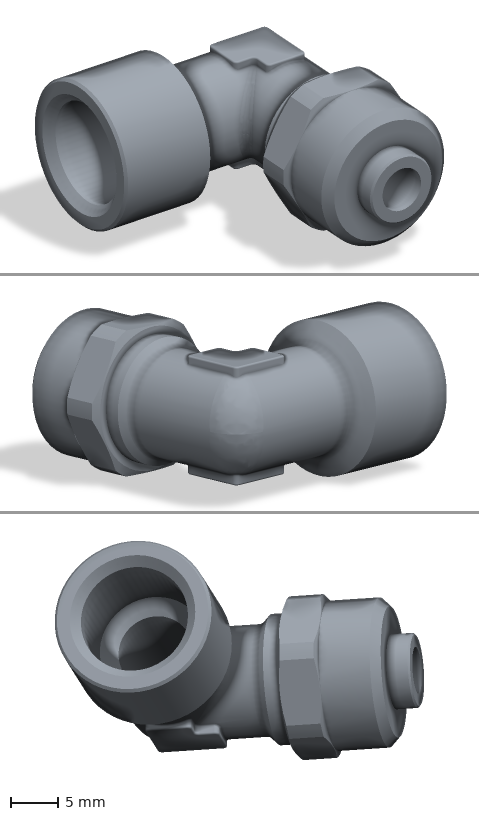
import cadquery as cq
import math


body_radius = 6.0
outer_corner_fillet = 4.0
inner_corner_fillet = 1.0
shoulder_fillet = 1.0

socket_radius = 8.5
socket_end_y = -23.5
socket_back_y = -12.5
socket_taper_angle = 60.0
socket_edge_chamfer = 0.3

collar_radius = 7.0
collar_start_x = 10.75
collar_taper_angle = 45.0
hex_start_x = 12.5
hex_end_x = 17.0
hex_across_flats = 16.0
hex_sides = 6
hex_corner_radius = 8.75
hex_end_radius = 7.85
hex_chamfer_length = 0.4
sleeve_radius = hex_across_flats / 2
sleeve_end_x = 23.5
sleeve_chamfer = 1.0
tube_radius = 4.0
tube_end_x = 26.0
tube_chamfer = 0.2

socket_bore_radius = 5.8
socket_bore_end_y = socket_back_y
socket_mouth_radius = 6.8
socket_mouth_depth = 1.0
drill_radius = 4.0
drill_end_y = 1.5
drill_tip_half_angle = 59.0
cross_bore_radius = 2.5

pad_height = 6.5
pad_inset = 2.5
pad_reach = 5.0
pad_corner_radius = 0.5
pad_edge_fillet = 0.2


def shoulder_length(end_radius, taper_angle):
    """Axial length from the plain body to the wide end of a filleted taper."""
    taper = (end_radius - body_radius) / math.tan(math.radians(taper_angle))
    fillet_tangent = shoulder_fillet * math.tan(math.radians(taper_angle / 2))
    return taper + fillet_tangent


socket_shoulder_y = socket_back_y + shoulder_length(socket_radius, socket_taper_angle)
collar_shoulder_x = collar_start_x - shoulder_length(collar_radius, collar_taper_angle)


def shoulder_arc_point(turn_angle):
    """(axial distance, radius) on the shoulder fillet once its slope has turned by turn_angle."""
    turn = math.radians(turn_angle)
    return shoulder_fillet * math.sin(turn), body_radius + shoulder_fillet * (1 - math.cos(turn))


def revolve_about_x(outline):
    """Turn a closed outline of (x, radius) points about the X axis."""
    return cq.Workplane("XY").polyline(outline).close().revolve(360, (0, 0, 0), (1, 0, 0))


def revolve_about_y(outline):
    """Turn a closed outline of (radius, y) points about the Y axis."""
    return cq.Workplane("XY").polyline(outline).close().revolve(360, (0, 0, 0), (0, 1, 0))


def mitred_legs():
    """Two body cylinders meeting at a diagonal mitre through the origin."""
    margin = 2 * body_radius
    y_leg = cq.Workplane("XZ", origin=(0, margin, 0)).circle(body_radius).extrude(margin - socket_shoulder_y)
    x_leg = cq.Workplane("YZ", origin=(-margin, 0, 0)).circle(body_radius).extrude(margin + collar_shoulder_x)
    x_side_outline = [(-margin, margin), (margin, margin), (margin, -margin)]
    x_side = cq.Workplane("XY").polyline(x_side_outline).close().extrude(margin, both=True)
    return y_leg.cut(x_side).union(x_leg.intersect(x_side))


def upper_pad():
    """L-shaped pad reaching from its face down to the mid-plane inside the body."""
    outline = [
        (-pad_inset, pad_inset),
        (pad_reach, pad_inset),
        (pad_reach, -pad_inset),
        (pad_inset, -pad_inset),
        (pad_inset, -pad_reach),
        (-pad_inset, -pad_reach),
    ]
    block = cq.Workplane("XY").polyline(outline).close().extrude(pad_height)
    block = block.edges("|Z").fillet(pad_corner_radius)
    return block.faces(">Z").edges().fillet(pad_edge_fillet)


def fillet_mitre(body, side, radius):
    """Round the mitre edges outside the pads: side is -1 for the outer corner, +1 for the inner one."""
    near = pad_inset + pad_corner_radius
    corner_box = cq.selectors.BoxSelector(
        (side * near, -side * near, -body_radius),
        (side * body_radius, -side * body_radius, body_radius),
    )
    return body.edges(corner_box).fillet(radius)


def fillet_pad_base(body, side):
    """Blend one pad into the legs: side is +1 for the top pad, -1 for the bottom one."""
    base_low = 5.1
    base_high = 6.1
    base_box = cq.selectors.BoxSelector(
        (-pad_reach - pad_edge_fillet, -pad_reach - pad_edge_fillet, side * base_low),
        (pad_reach + pad_edge_fillet, pad_reach + pad_edge_fillet, side * base_high),
    )
    return body.edges("not |Z").edges(base_box).fillet(pad_edge_fillet)


def elbow():
    pad = upper_pad()
    body = mitred_legs().union(pad).union(pad.mirror("XY"))
    body = fillet_mitre(body, -1, outer_corner_fillet)
    body = fillet_mitre(body, 1, inner_corner_fillet)
    for side in (1, -1):
        body = fillet_pad_base(body, side)
    return body


def socket_end():
    """Filleted taper and socket barrel, turned about the Y axis."""
    arc_mid_drop, arc_mid_radius = shoulder_arc_point(socket_taper_angle / 2)
    arc_end_drop, arc_end_radius = shoulder_arc_point(socket_taper_angle)
    outline = (
        cq.Workplane("XY")
        .moveTo(0, socket_shoulder_y)
        .lineTo(body_radius, socket_shoulder_y)
        .threePointArc(
            (arc_mid_radius, socket_shoulder_y - arc_mid_drop),
            (arc_end_radius, socket_shoulder_y - arc_end_drop),
        )
        .lineTo(socket_radius, socket_back_y)
        .lineTo(socket_radius, socket_end_y + socket_edge_chamfer)
        .lineTo(socket_radius - socket_edge_chamfer, socket_end_y)
        .lineTo(0, socket_end_y)
        .close()
    )
    return outline.revolve(360, (0, 0, 0), (0, 1, 0))


def collar():
    """Filleted taper and collar, turned about the X axis."""
    arc_mid_shift, arc_mid_radius = shoulder_arc_point(collar_taper_angle / 2)
    arc_end_shift, arc_end_radius = shoulder_arc_point(collar_taper_angle)
    outline = (
        cq.Workplane("XY")
        .moveTo(collar_shoulder_x, 0)
        .lineTo(collar_shoulder_x, body_radius)
        .threePointArc(
            (collar_shoulder_x + arc_mid_shift, arc_mid_radius),
            (collar_shoulder_x + arc_end_shift, arc_end_radius),
        )
        .lineTo(collar_start_x, collar_radius)
        .lineTo(hex_start_x, collar_radius)
        .lineTo(hex_start_x, 0)
        .close()
    )
    return outline.revolve(360, (0, 0, 0), (1, 0, 0))


def clamping_nut():
    """Hexagon with flats facing +Z and -Z, turned at its corners and ends, plus the round sleeve."""
    across_corners = hex_across_flats / math.cos(math.pi / hex_sides)
    prism = cq.Workplane("YZ", origin=(hex_start_x, 0, 0)).polygon(hex_sides, across_corners)
    prism = prism.extrude(hex_end_x - hex_start_x)
    turned = revolve_about_x([
        (hex_start_x, 0),
        (hex_start_x, hex_end_radius),
        (hex_start_x + hex_chamfer_length, hex_corner_radius),
        (hex_end_x - hex_chamfer_length, hex_corner_radius),
        (hex_end_x, hex_end_radius),
        (hex_end_x, 0),
    ])
    sleeve = revolve_about_x([
        (hex_end_x, 0),
        (hex_end_x, sleeve_radius),
        (sleeve_end_x - sleeve_chamfer, sleeve_radius),
        (sleeve_end_x, sleeve_radius - sleeve_chamfer),
        (sleeve_end_x, 0),
    ])
    return prism.intersect(turned).union(sleeve)


def tube():
    return revolve_about_x([
        (sleeve_end_x, 0),
        (sleeve_end_x, tube_radius),
        (tube_end_x - tube_chamfer, tube_radius),
        (tube_end_x, tube_radius - tube_chamfer),
        (tube_end_x, 0),
    ])


def socket_bore():
    """Chamfered mouth, socket bore and drilled hole, each bore ending in a drill-point cone."""
    tip_slope = math.tan(math.radians(drill_tip_half_angle))
    return revolve_about_y([
        (0, socket_end_y),
        (socket_mouth_radius, socket_end_y),
        (socket_bore_radius, socket_end_y + socket_mouth_depth),
        (socket_bore_radius, socket_bore_end_y),
        (drill_radius, socket_bore_end_y + (socket_bore_radius - drill_radius) / tip_slope),
        (drill_radius, drill_end_y),
        (0, drill_end_y + drill_radius / tip_slope),
    ])


def cross_bore():
    """Bore along the clamping leg, from the drilled hole out through the tube."""
    return cq.Workplane("YZ").circle(cross_bore_radius).extrude(tube_end_x)


result = elbow().union(socket_end()).union(collar()).union(clamping_nut()).union(tube())
result = result.cut(socket_bore()).cut(cross_bore())